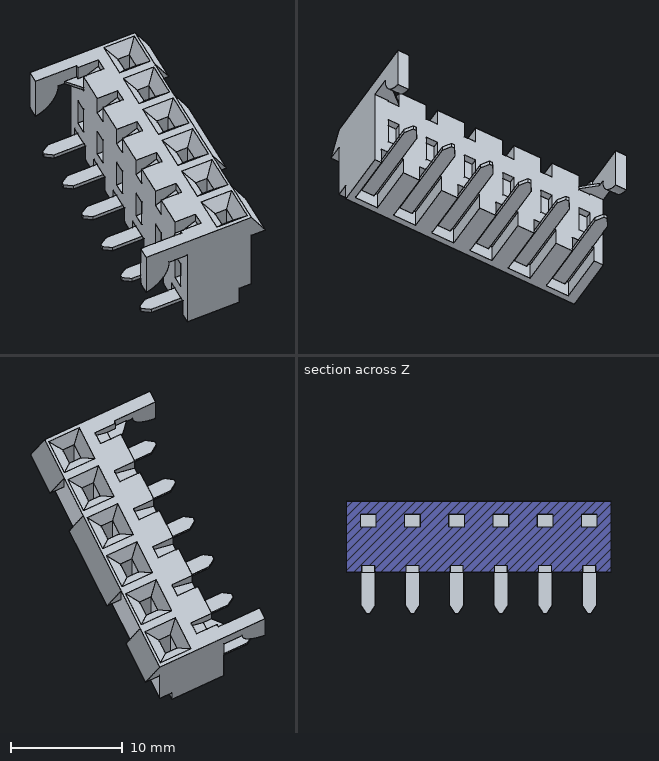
import cadquery as cq
import math


LENGTH = 23.67
HEIGHT = 11.4
TOTAL_DEPTH = 11.88
HOOK_REACH = 1.42
ARM_REACH = 4.1
BODY_DEPTH = TOTAL_DEPTH - HOOK_REACH - ARM_REACH
HALF_LENGTH = LENGTH / 2

CONTACTS = 6
PITCH = 3.95
contact_xs = [(i - (CONTACTS - 1) / 2) * PITCH for i in range(CONTACTS)]

FOOT_HEIGHT = 1.96
FOOT_SETBACK = 1.2
NOTCH_WIDTH = 2.27
NOTCH_OFFSET = -0.15
NOTCH_DEPTH = 4.6

HOOK_HEIGHT = 2.58
END_HOOK_LENGTH = 4.02
MIDDLE_HOOK_LENGTH = 7.8

ARM_THICKNESS = 1.14
ARM_ROOT_HEIGHT = 1.92
ARM_GAP = 1.82
ARM_TIP_HEIGHT = 5.02

SLOT_WIDTH = 1.14
SLOT_DEPTH = 2.04
SLOT_REAR_HEIGHT = 0.92
SLOT_FRONT_HEIGHT = 2.04
WINDOW_TOP = 6.72
WINDOW_HEIGHT = 3.2
WINDOW_DEPTH = 0.6
WEB_THICKNESS = 0.33
WEB_REACH = 1.2

FUNNEL_WIDTH = 3.22
FUNNEL_DEPTH_Y = 3.03
FUNNEL_HEIGHT = 1.14
HOLE_WIDTH = 1.37
HOLE_DEPTH_Y = 1.14
REAR_WALL = 0.24
SOCKET_Y = BODY_DEPTH - REAR_WALL - FUNNEL_DEPTH_Y / 2
SOCKET_FLOOR = WINDOW_TOP - WINDOW_HEIGHT

PIN_WIDTH = 1.3
PIN_THICKNESS = 0.47
PIN_REACH = 3.72
PIN_TAPER = 0.75
PIN_TIP_WIDTH = 0.3


def box(x_min, x_max, y_min, y_max, z_min, z_max):
    """Box between the given limits."""
    size = (x_max - x_min, y_max - y_min, z_max - z_min)
    return cq.Workplane("XY").box(*size, centered=False).translate((x_min, y_min, z_min))


def extrude_along_x(profile, x_min, x_max):
    """Extrude a closed YZ profile between two X positions."""
    return profile.extrude(x_max - x_min).translate((x_min, 0, 0))


def housing():
    """Plain block with the rear bottom edge stepped up."""
    profile = cq.Workplane("YZ").polyline([
        (0, 0),
        (BODY_DEPTH - FOOT_SETBACK, 0),
        (BODY_DEPTH - FOOT_SETBACK, FOOT_HEIGHT),
        (BODY_DEPTH, FOOT_HEIGHT),
        (BODY_DEPTH, HEIGHT),
        (0, HEIGHT),
    ]).close()
    return extrude_along_x(profile, -HALF_LENGTH, HALF_LENGTH)


def hook(x_min, x_max):
    """Wedge on the rear face with a flat underside."""
    profile = cq.Workplane("YZ").polyline([
        (BODY_DEPTH, HEIGHT),
        (BODY_DEPTH + HOOK_REACH, HEIGHT - HOOK_HEIGHT),
        (BODY_DEPTH, HEIGHT - HOOK_HEIGHT),
    ]).close()
    return extrude_along_x(profile, x_min, x_max)


def arm(x_min):
    """End arm reaching forward, with a claw whose inner edge is an arc."""
    claw_width = ARM_REACH - ARM_GAP
    claw_drop = ARM_TIP_HEIGHT - ARM_ROOT_HEIGHT
    radius = (claw_width**2 + claw_drop**2) / (2 * claw_width)
    half_sweep = math.asin(claw_drop / radius) / 2
    root_z = HEIGHT - ARM_ROOT_HEIGHT
    arc_mid = (
        -ARM_GAP - radius * (1 - math.cos(half_sweep)),
        root_z - radius * math.sin(half_sweep),
    )
    profile = (
        cq.Workplane("YZ")
        .moveTo(0, HEIGHT)
        .lineTo(-ARM_REACH, HEIGHT)
        .lineTo(-ARM_REACH, HEIGHT - ARM_TIP_HEIGHT)
        .threePointArc(arc_mid, (-ARM_GAP, root_z))
        .lineTo(0, root_z)
        .close()
    )
    return extrude_along_x(profile, x_min, x_min + ARM_THICKNESS)


def slot(x):
    """Slot open to the top and front, its floor sloping down to the front."""
    profile = cq.Workplane("YZ").polyline([
        (0, HEIGHT),
        (SLOT_DEPTH, HEIGHT),
        (SLOT_DEPTH, HEIGHT - SLOT_REAR_HEIGHT),
        (0, HEIGHT - SLOT_FRONT_HEIGHT),
    ]).close()
    return extrude_along_x(profile, x - SLOT_WIDTH / 2, x + SLOT_WIDTH / 2)


def window(x):
    """Blind rectangular recess in the front face."""
    half_width = SLOT_WIDTH / 2
    return box(x - half_width, x + half_width, 0, WINDOW_DEPTH, WINDOW_TOP - WINDOW_HEIGHT, WINDOW_TOP)


def socket(x):
    """Tapered mouth and straight blind hole entered from the top."""
    funnel_bottom = HEIGHT - FUNNEL_HEIGHT
    funnel = (
        cq.Workplane("XY")
        .workplane(offset=funnel_bottom)
        .rect(HOLE_WIDTH, HOLE_DEPTH_Y)
        .workplane(offset=FUNNEL_HEIGHT)
        .rect(FUNNEL_WIDTH, FUNNEL_DEPTH_Y)
        .loft(ruled=True)
    )
    hole = (
        cq.Workplane("XY")
        .workplane(offset=SOCKET_FLOOR)
        .rect(HOLE_WIDTH, HOLE_DEPTH_Y)
        .extrude(funnel_bottom - SOCKET_FLOOR)
    )
    return funnel.union(hole).translate((x, SOCKET_Y, 0))


def pin_notch(x):
    """Notch in the underside, open to the front, around one pin."""
    center = x + NOTCH_OFFSET
    half_width = NOTCH_WIDTH / 2
    return box(center - half_width, center + half_width, 0, NOTCH_DEPTH, 0, FOOT_HEIGHT)


def pin(x):
    """Flat pointed pin lying against the notch ceiling."""
    half_width = PIN_WIDTH / 2
    half_tip = PIN_TIP_WIDTH / 2
    shoulder_y = PIN_TAPER - PIN_REACH
    return (
        cq.Workplane("XY")
        .workplane(offset=FOOT_HEIGHT - PIN_THICKNESS)
        .polyline([
            (-half_width, NOTCH_DEPTH),
            (-half_width, shoulder_y),
            (-half_tip, -PIN_REACH),
            (half_tip, -PIN_REACH),
            (half_width, shoulder_y),
            (half_width, NOTCH_DEPTH),
        ])
        .close()
        .extrude(PIN_THICKNESS)
        .translate((x, 0, 0))
    )


def left_web():
    """Thin corner web between the left arm and the housing, filling the end slot behind it."""
    arm_inner = ARM_THICKNESS - HALF_LENGTH
    slot_inner = contact_xs[0] + SLOT_WIDTH / 2
    slot_outer = contact_xs[0] - SLOT_WIDTH / 2
    return (
        cq.Workplane("XY")
        .workplane(offset=HEIGHT - ARM_ROOT_HEIGHT)
        .polyline([
            (arm_inner, -WEB_REACH),
            (slot_inner, 0),
            (slot_inner, SLOT_DEPTH),
            (slot_outer, SLOT_DEPTH),
            (slot_outer, 0),
            (arm_inner, 0),
        ])
        .close()
        .extrude(WEB_THICKNESS)
    )


result = housing()

hook_spans = [
    (-HALF_LENGTH, END_HOOK_LENGTH - HALF_LENGTH),
    (-MIDDLE_HOOK_LENGTH / 2, MIDDLE_HOOK_LENGTH / 2),
    (HALF_LENGTH - END_HOOK_LENGTH, HALF_LENGTH),
]
for hook_start, hook_end in hook_spans:
    result = result.union(hook(hook_start, hook_end))

for arm_start in (-HALF_LENGTH, HALF_LENGTH - ARM_THICKNESS):
    result = result.union(arm(arm_start))

for contact_x in contact_xs:
    for recess in (slot, window, socket, pin_notch):
        result = result.cut(recess(contact_x))
    result = result.union(pin(contact_x))

web = left_web()
result = result.union(web).union(web.mirror("YZ"))